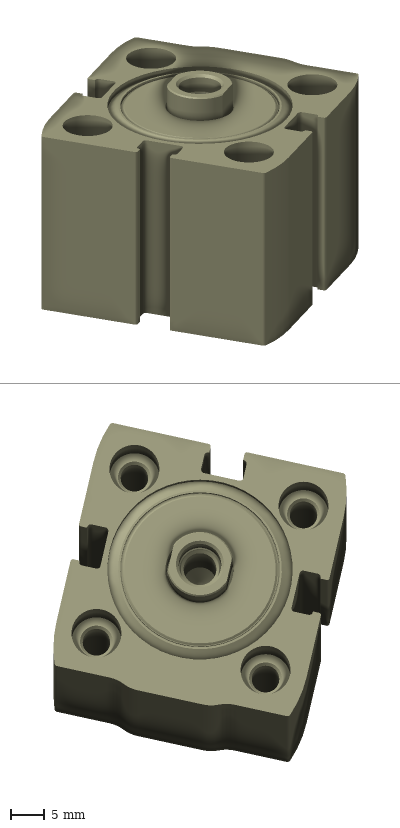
import cadquery as cq
import math

width = 38.5
half_width = width / 2
height = 28.5
bump_rise = 1.0
bump_flat_half = 5.05
bump_foot_half = 9.6
flank_half = 12.65
corner_inset = 1.25
corner_radius = 0.5
edge_reach = 0.1

slot_mouth = 5.2
slot_inner = 6.5
slot_depth = 4.55
slot_lip = 1.3
slot_mouth_radius = 0.35
slot_inner_radius = 0.55

hole_offset = 13.0
counterbore_diameter = 7.5
counterbore_depth = 5.2
thread_diameter = 4.13
thread_chamfer = 0.4

cap_top = height - 0.2
recess_radius = 27.8 / 2
ring_top = cap_top + 0.1
ring_outer_radius = 12.28
ring_inner_radius = 11.97
gap_inner_radius = 11.8
cap_shoulder_radius = 11.65
cap_chamfer_width = 0.3
cap_chamfer_drop = 0.2
gap_depth = 0.4
bevel_angle = 30.0
bevel_drop = (recess_radius - ring_outer_radius) * math.tan(math.radians(bevel_angle))
bevel_bottom = ring_top - bevel_drop

rod_diameter = 10.0
rod_flats = 9.0
flat_length = 6.0
rod_projection = 3.5
rod_top = height + rod_projection
rod_depth = 22.0
rod_chamfer = 0.2
bore_chamfer = 0.2
socket_diameter = 6.4
socket_chamfer = 0.4
socket_depth = 2.7
thread_mouth_diameter = 6.0
rod_thread_diameter = 4.92
rod_thread_depth = 12.0
drill_point_angle = 118.0


def round_vertical_edge(body, x, y, radius):
    """Fillet the single vertical edge that stands at (x, y)."""
    column = cq.selectors.BoxSelector(
        (x - edge_reach, y - edge_reach, 0),
        (x + edge_reach, y + edge_reach, height),
    )
    return body.edges("|Z").edges(column).fillet(radius)


def housing_blank():
    """Extruded body: bowed sides and a shallow raised pad on +Y."""
    top = half_width + bump_rise
    corner_x = half_width - corner_inset
    bow_run = half_width - flank_half
    bow_radius = (bow_run ** 2 + corner_inset ** 2) / (2 * corner_inset)
    half_angle = math.asin(bow_run / bow_radius) / 2
    bow_mid_x = half_width - bow_radius * (1 - math.cos(half_angle))
    bow_mid_y = flank_half + bow_radius * math.sin(half_angle)
    step_mid = ((bump_flat_half + bump_foot_half) / 2, half_width + bump_rise / 2)
    outline = (
        cq.Workplane("XY")
        .moveTo(-bump_flat_half, top)
        .lineTo(bump_flat_half, top)
        .tangentArcPoint(step_mid, relative=False)
        .tangentArcPoint((bump_foot_half, half_width), relative=False)
        .lineTo(corner_x, half_width)
        .threePointArc((bow_mid_x, bow_mid_y), (half_width, flank_half))
        .lineTo(half_width, -flank_half)
        .threePointArc((bow_mid_x, -bow_mid_y), (corner_x, -half_width))
        .lineTo(-corner_x, -half_width)
        .threePointArc((-bow_mid_x, -bow_mid_y), (-half_width, -flank_half))
        .lineTo(-half_width, flank_half)
        .threePointArc((-bow_mid_x, bow_mid_y), (-corner_x, half_width))
        .lineTo(-bump_foot_half, half_width)
        .tangentArcPoint((-step_mid[0], step_mid[1]), relative=False)
        .tangentArcPoint((-bump_flat_half, top), relative=False)
        .close()
    )
    blank = outline.extrude(height)
    for x in (-corner_x, corner_x):
        for y in (-half_width, half_width):
            blank = round_vertical_edge(blank, x, y, corner_radius)
    return blank


def cut_slot(body, angle):
    """Full-height T-slot in the -Y face, turned about Z by the angle."""
    inner_length = slot_depth - slot_lip
    mouth = (
        cq.Workplane("XY")
        .center(0, -half_width + slot_lip / 2)
        .rect(slot_mouth, slot_lip)
        .extrude(height)
    )
    chamber = (
        cq.Workplane("XY")
        .center(0, -half_width + slot_lip + inner_length / 2)
        .rect(slot_inner, inner_length)
        .extrude(height)
        .edges("|Z")
        .fillet(slot_inner_radius)
    )
    slot = mouth.union(chamber).rotate((0, 0, 0), (0, 0, 1), angle)
    body = body.cut(slot)
    for side in (-1, 1):
        rim = cq.Plane.XY().rotated((0, 0, angle)).toWorldCoords((side * slot_mouth / 2, -half_width))
        body = round_vertical_edge(body, rim.x, rim.y, slot_mouth_radius)
    return body


def revolve_profile(points):
    """Solid of revolution about Z from (radius, z) points."""
    return cq.Workplane("XZ").polyline(points).close().revolve(360, (0, 0), (0, 1))


def mounting_hole():
    """Counterbored thread hole with a chamfered thread mouth, centred on Z."""
    seat = height - counterbore_depth
    thread_radius = thread_diameter / 2
    counterbore_radius = counterbore_diameter / 2
    return revolve_profile([
        (0, 0),
        (thread_radius, 0),
        (thread_radius, seat - thread_chamfer),
        (thread_radius + thread_chamfer, seat),
        (counterbore_radius, seat),
        (counterbore_radius, height),
        (0, height),
    ])


def face_recess():
    """Everything removed above the end cap: bevelled ring, narrow gap and cap edge."""
    return revolve_profile([
        (0, height),
        (0, cap_top),
        (cap_shoulder_radius - cap_chamfer_width, cap_top),
        (cap_shoulder_radius, cap_top - cap_chamfer_drop),
        (gap_inner_radius, cap_top - cap_chamfer_drop),
        (gap_inner_radius, cap_top - gap_depth),
        (ring_inner_radius, cap_top - gap_depth),
        (ring_inner_radius, ring_top),
        (ring_outer_radius, ring_top),
        (recess_radius, bevel_bottom),
        (recess_radius, height),
    ])


def rod_bore():
    """Blind bore that guides the rod, with a small chamfer at the cap face."""
    rod_radius = rod_diameter / 2
    bottom = height - rod_depth
    return revolve_profile([
        (0, bottom),
        (rod_radius, bottom),
        (rod_radius, cap_top - bore_chamfer),
        (rod_radius + bore_chamfer, cap_top),
        (0, cap_top),
    ])


def make_housing():
    body = housing_blank()
    for angle in (0, 90, -90):
        body = cut_slot(body, angle)
    for x in (-hole_offset, hole_offset):
        for y in (-hole_offset, hole_offset):
            body = body.cut(mounting_hole().translate((x, y, 0)))
    return body.cut(face_recess()).cut(rod_bore())


def rod_socket():
    """Plain socket over a chamfered thread hole with a drill-point bottom."""
    socket_radius = socket_diameter / 2
    mouth_radius = thread_mouth_diameter / 2
    thread_radius = rod_thread_diameter / 2
    socket_floor = rod_top - socket_depth
    thread_start = socket_floor - (mouth_radius - thread_radius)
    thread_end = rod_top - rod_thread_depth
    point_depth = thread_radius / math.tan(math.radians(drill_point_angle / 2))
    return revolve_profile([
        (0, rod_top),
        (socket_radius + socket_chamfer, rod_top),
        (socket_radius, rod_top - socket_chamfer),
        (socket_radius, socket_floor),
        (mouth_radius, socket_floor),
        (thread_radius, thread_start),
        (thread_radius, thread_end),
        (0, thread_end - point_depth),
    ])


def make_rod():
    """Round rod with a chamfered tip and two wrench flats facing -X and +X."""
    rod = (
        cq.Workplane("XY")
        .workplane(offset=height - rod_depth)
        .circle(rod_diameter / 2)
        .extrude(rod_depth + rod_projection)
        .faces(">Z")
        .chamfer(rod_chamfer)
    )
    cutter_width = rod_diameter - rod_flats
    for side in (-1, 1):
        flat = (
            cq.Workplane("XY")
            .box(cutter_width, rod_diameter, flat_length)
            .translate((side * (rod_flats + cutter_width) / 2, 0, rod_top - flat_length / 2))
        )
        rod = rod.cut(flat)
    return rod.cut(rod_socket())


housing = make_housing()
rod = make_rod()

result = cq.Compound.makeCompound([housing.val(), rod.val()])